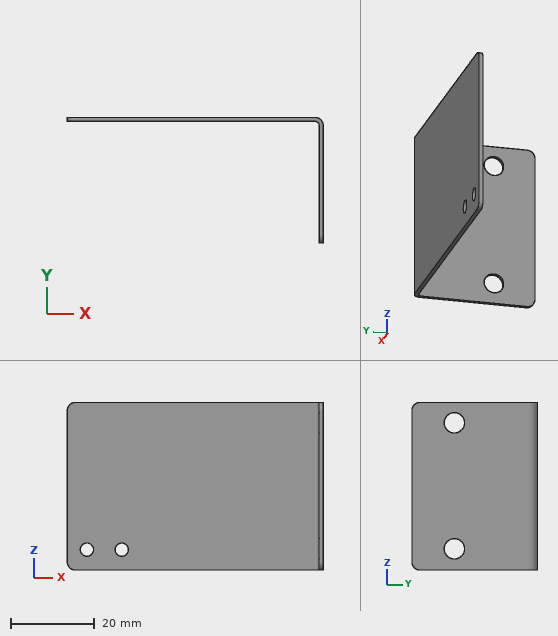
import cadquery as cq

length = 61.0
depth = 30.0
height = 40.0
thickness = 1.0

bend_inner_radius = 1.0
bend_outer_radius = bend_inner_radius + thickness
corner_radius = 2.0

small_hole_diameter = 3.1
small_hole_first_offset = 4.7
small_hole_spacing = 8.3
small_hole_height = 4.9

large_hole_diameter = 4.8
large_hole_end_offset = 10.15
large_hole_first_height = 5.1
large_hole_spacing = 30.0

free_end_y = -depth


def at_vertical_edge(x, y):
    """Selector for the full-height vertical edge at (x, y)."""
    return cq.NearestToPointSelector((x, y, height / 2))


def bent_sheet():
    """Both legs and the bend, extruded to full height from the L profile."""
    profile = (
        cq.Workplane("XY")
        .polyline([
            (0, 0),
            (length, 0),
            (length, free_end_y),
            (length - thickness, free_end_y),
            (length - thickness, -thickness),
            (0, -thickness),
        ])
        .close()
    )
    sheet = profile.extrude(height)
    sheet = sheet.edges(at_vertical_edge(length, 0)).fillet(bend_outer_radius)
    inner_edge = at_vertical_edge(length - thickness, -thickness)
    return sheet.edges(inner_edge).fillet(bend_inner_radius)


def round_free_corners(sheet):
    """Round the two outer corners at the free end of each leg."""
    sheet = sheet.faces("<X").edges("|Y").fillet(corner_radius)
    return sheet.faces("<Y").edges("|X").fillet(corner_radius)


def small_holes():
    """Cutters through the long leg, along Y."""
    centers = [
        (small_hole_first_offset, small_hole_height),
        (small_hole_first_offset + small_hole_spacing, small_hole_height),
    ]
    return (
        cq.Workplane("XZ")
        .pushPoints(centers)
        .circle(small_hole_diameter / 2)
        .extrude(thickness)
    )


def large_holes():
    """Cutters through the short leg, along X."""
    hole_y = free_end_y + large_hole_end_offset
    centers = [
        (hole_y, large_hole_first_height),
        (hole_y, large_hole_first_height + large_hole_spacing),
    ]
    return (
        cq.Workplane("YZ", origin=(length - thickness, 0, 0))
        .pushPoints(centers)
        .circle(large_hole_diameter / 2)
        .extrude(thickness)
    )


bracket = round_free_corners(bent_sheet())
result = bracket.cut(small_holes()).cut(large_holes())